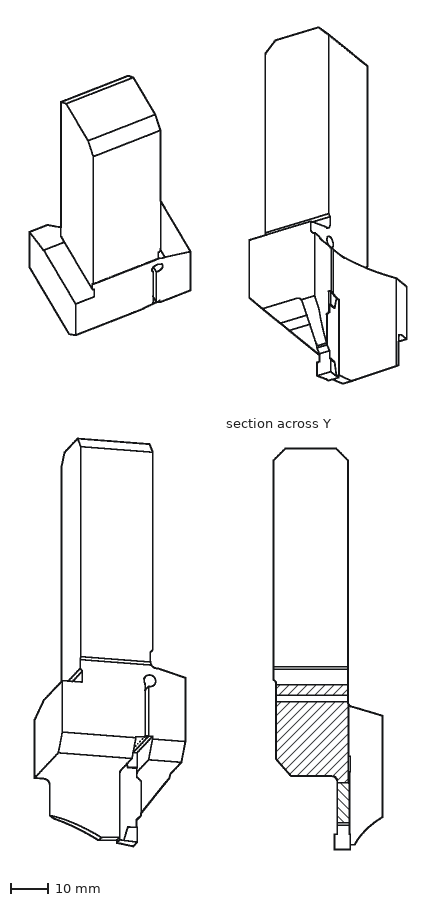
import cadquery as cq
import math

total_height = 107.1
body_depth = 34.1

shank_size = 19.9
shank_left = 9.2
shank_right = shank_left + shank_size
shank_front = 4.9
shank_back = shank_front + shank_size
shank_chamfer = 3.2
relief = 0.6
relief_right_z = 44.8
relief_front_z = 41.7
relief_back_z = 48.2
neck_right = shank_right - relief
neck_front = shank_front + relief
neck_back = shank_back - relief

head_bottom = 19.6
head_top = 38.6
head_left_top = 35.8
shoulder_fillet = 1.3
shoulder_drop = 0.4
neck_fillet = 0.3
head_chamfer_x = 4.1
head_chamfer_z = 4.6
ledge_front_y = 26.5
ledge_front_z = 44.0
ledge_back_z = 42.0
ledge_corner_z = 45.6

arc_center_y = 24.6
inner_radius = 25.0
inner_apex_x = 9.1
jaw_face_x = 8.0
blade_apex_x = 12.1
blade_front = 4.2
blade_fillet = 1.5
blade_toe_y = 15.7
blade_toe_z = 1.3
jaw_tip_z = 6.6
blade_front_z = 9.5
jaw_back_z = 18.7

hole_y = 24.2
hole_z = 40.4
hole_radius = 1.6
slit_front = 22.9
slit_back = 23.9

insert_left = 8.9
insert_right = 12.1
edge_left = 8.6
edge_right = 12.9
insert_front = 20.4
rake_y = 25.0
insert_back = 26.2
insert_height = 25.0
flank_rise = 0.5
rake_length = 6.5
rake_bevel = 1.2
tip_height = 4.2
tip_root_y = 22.5
tip_front_y = 21.4


def along_x(sketch_plane, x_start, x_end):
    """Extrude a closed YZ outline between two X positions."""
    return sketch_plane.extrude(x_end - x_start).translate((x_start, 0, 0))


def side_profile():
    """Shank and head outline seen along X."""
    foot = neck_fillet * (1 - math.sqrt(0.5))
    corner = ledge_front_y - neck_back
    mid_y = ledge_front_y - corner * math.sqrt(0.5)
    mid_z = ledge_corner_z - (ledge_corner_z - ledge_front_z) * math.sqrt(0.5)
    outline = (
        cq.Workplane("YZ")
        .moveTo(0, head_bottom)
        .lineTo(0, head_top)
        .lineTo(neck_front - neck_fillet, head_top)
        .threePointArc((neck_front - foot, head_top + foot), (neck_front, head_top + neck_fillet))
        .lineTo(neck_front, relief_front_z)
        .lineTo(shank_front, relief_front_z + relief)
        .lineTo(shank_front, total_height)
        .lineTo(shank_back, total_height)
        .lineTo(shank_back, relief_back_z + relief)
        .lineTo(neck_back, relief_back_z)
        .lineTo(neck_back, ledge_corner_z)
        .threePointArc((mid_y, mid_z), (ledge_front_y, ledge_front_z))
        .lineTo(body_depth, ledge_back_z)
        .lineTo(body_depth, head_bottom)
        .close()
    )
    return along_x(outline, 0, shank_right)


def front_profile():
    """Shank and head outline seen along Y."""
    fillet_x = shank_left - shoulder_fillet
    fillet_z = head_top - shoulder_drop
    fillet_top = fillet_z + shoulder_fillet
    bulge = shoulder_fillet * math.sqrt(0.5)
    return (
        cq.Workplane("XZ")
        .moveTo(0, head_bottom)
        .lineTo(0, head_left_top)
        .lineTo(fillet_x, fillet_z)
        .threePointArc((fillet_x + bulge, fillet_top - bulge), (shank_left, fillet_top))
        .lineTo(shank_left, total_height - shank_chamfer)
        .lineTo(shank_left + shank_chamfer, total_height)
        .lineTo(shank_right - shank_chamfer, total_height)
        .lineTo(shank_right, total_height - shank_chamfer)
        .lineTo(shank_right, relief_right_z + relief)
        .lineTo(neck_right, relief_right_z)
        .lineTo(neck_right, head_bottom + head_chamfer_z)
        .lineTo(neck_right - head_chamfer_x, head_bottom)
        .close()
        .extrude(-body_depth)
    )


def blade_plan():
    """Blade with a convex outer face, tangent to a straight stretch at the back."""
    run = arc_center_y - blade_front
    radius = (run**2 + blade_apex_x**2) / (2 * blade_apex_x)
    half_angle = math.atan2(run, radius - blade_apex_x) / 2
    mid_x = blade_apex_x - radius * (1 - math.cos(half_angle))
    mid_y = arc_center_y - radius * math.sin(half_angle)
    return (
        cq.Workplane("XY")
        .moveTo(0, blade_front)
        .threePointArc((mid_x, mid_y), (blade_apex_x, arc_center_y))
        .lineTo(blade_apex_x, body_depth)
        .lineTo(0, body_depth)
        .close()
        .extrude(head_bottom)
    )


def blade_side():
    """Sloping lower edges of the blade and the clamping jaw."""
    outline = cq.Workplane("YZ").polyline([
        (blade_front, head_bottom),
        (blade_front, blade_front_z),
        (blade_toe_y, blade_toe_z),
        (rake_y, blade_toe_z),
        (rake_y, jaw_tip_z),
        (body_depth, jaw_back_z),
        (body_depth, head_bottom),
    ]).close()
    return along_x(outline, 0, blade_apex_x)


def inner_clearance():
    """Space left of the concave side of the blade and the flat of the jaw."""
    center_x = inner_apex_x - inner_radius
    flat_y = arc_center_y + math.sqrt(inner_radius**2 - (jaw_face_x - center_x) ** 2)
    cylinder = cq.Workplane("XY").center(center_x, arc_center_y).circle(inner_radius).extrude(total_height)
    jaw_flat = cq.Workplane("XY").box(
        jaw_face_x, body_depth - flat_y, total_height, centered=False
    ).translate((0, flat_y, 0))
    return cylinder.union(jaw_flat)


def clamping_slit():
    """Relief hole and slit running down to the insert, through along X."""
    hole = along_x(cq.Workplane("YZ").center(hole_y, hole_z).circle(hole_radius), 0, shank_right)
    slit = cq.Workplane("XY").box(
        shank_right, slit_back - slit_front, hole_z - insert_height, centered=False
    ).translate((0, slit_front, insert_height))
    return hole.union(slit)


def insert_outline():
    """Insert outline seen along X, symmetric about its mid height."""
    lower = [
        (insert_front, flank_rise),
        (rake_y, 0),
        (rake_y, rake_length),
        (insert_back, rake_length + rake_bevel),
    ]
    upper = [(y, insert_height - z) for y, z in reversed(lower)]
    return cq.Workplane("YZ").polyline(lower + upper).close()


def insert_tip():
    """Lower cutting end, flaring towards the rake face."""
    flank_z = flank_rise * (rake_y - tip_front_y) / (rake_y - insert_front)
    side = along_x(
        cq.Workplane("YZ")
        .polyline([(rake_y, 0), (rake_y, tip_height), (tip_root_y, tip_height), (tip_front_y, flank_z)])
        .close(),
        edge_left,
        edge_right,
    )
    flare = (
        cq.Workplane("XY")
        .polyline([
            (edge_left, rake_y),
            (edge_right, rake_y),
            (insert_right, tip_front_y),
            (insert_left, tip_front_y),
        ])
        .close()
        .extrude(tip_height)
    )
    return side.intersect(flare)


def make_insert():
    bar = along_x(insert_outline(), insert_left, insert_right)
    lower_tip = insert_tip()
    upper_tip = lower_tip.mirror("XY", (0, 0, insert_height / 2))
    return bar.union(lower_tip).union(upper_tip)


def make_holder():
    shank_and_head = front_profile().intersect(side_profile())
    blade = blade_plan().intersect(blade_side())
    holder = shank_and_head.union(blade)
    margin = 0.1
    root_edges = cq.selectors.BoxSelector(
        (-margin, blade_front - margin, head_bottom - margin),
        (blade_apex_x + margin, body_depth - margin, head_bottom + margin),
    )
    holder = holder.edges(root_edges).fillet(blade_fillet)
    seat = along_x(insert_outline(), 0, shank_right)
    return holder.cut(inner_clearance()).cut(clamping_slit()).cut(seat)


holder = make_holder()
insert = make_insert()
result = cq.Compound.makeCompound([holder.solids().val(), insert.solids().val()])